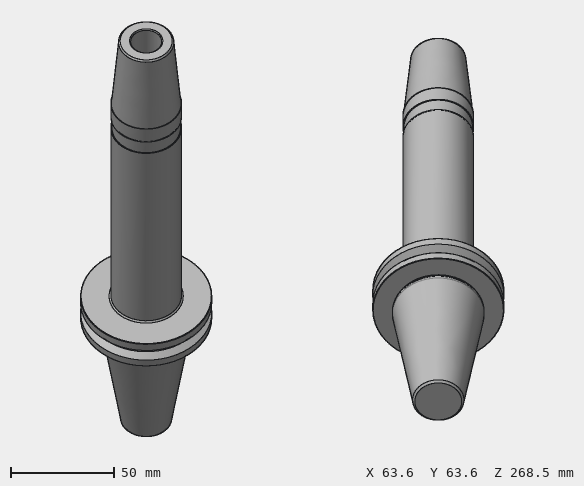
import cadquery as cq
import math

total_length = 268.5
taper_length = 68.5
gauge_radius = 22.3
taper_ratio = 7 / 24
tail_chamfer = 1.0
tail_radius = gauge_radius - taper_length * taper_ratio / 2
tail_chamfer_radius = tail_radius + tail_chamfer * taper_ratio / 2

land_height = 2.0
neck_height = 1.3
neck_radius = 21.7
land_top = taper_length + land_height

flange_bottom = land_top + neck_height
flange_height = 15.8
flange_radius = 31.8
flange_top = flange_bottom + flange_height
rim_chamfer = 0.3
groove_center = flange_bottom + 7.8
groove_floor_radius = 28.2
groove_floor_width = 2.7
groove_flank_rise = (flange_radius - groove_floor_radius) * math.tan(math.radians(30))
groove_mouth_width = groove_floor_width + 2 * groove_flank_rise

body_radius = 17.2
flare_size = 0.8

band_bottom = 207.0
band_top = 215.0
band_radius = 16.6

nose_bottom = 224.0
nose_base_radius = 17.0
nose_tip_radius = 13.5
nose_chamfer = 0.8
bore_radius = 7.5
bore_depth = 50.0
bore_chamfer = 0.5


def make_shank():
    """Taper, land and neck up to the underside of the flange."""
    return (
        cq.Workplane("XZ")
        .moveTo(0, 0)
        .lineTo(tail_chamfer_radius - tail_chamfer, 0)
        .lineTo(tail_chamfer_radius, tail_chamfer)
        .lineTo(gauge_radius, taper_length)
        .lineTo(gauge_radius, land_top)
        .lineTo(neck_radius, land_top)
        .lineTo(neck_radius, flange_bottom)
        .lineTo(0, flange_bottom)
        .close()
        .revolve(360, (0, 0), (0, 1))
    )


def make_flange():
    """Disc with chamfered rims and the V-groove around its edge."""
    disc = (
        cq.Workplane("XY", origin=(0, 0, flange_bottom))
        .circle(flange_radius)
        .extrude(flange_height)
        .edges()
        .chamfer(rim_chamfer)
    )
    groove = (
        cq.Workplane("XZ")
        .moveTo(flange_radius, groove_center - groove_mouth_width / 2)
        .lineTo(groove_floor_radius, groove_center - groove_floor_width / 2)
        .lineTo(groove_floor_radius, groove_center + groove_floor_width / 2)
        .lineTo(flange_radius, groove_center + groove_mouth_width / 2)
        .close()
        .revolve(360, (0, 0), (0, 1))
    )
    return disc.cut(groove)


def make_body():
    """Flared body, shallow band and tapered nose."""
    return (
        cq.Workplane("XZ")
        .moveTo(0, flange_top)
        .lineTo(body_radius + flare_size, flange_top)
        .lineTo(body_radius, flange_top + flare_size)
        .lineTo(body_radius, band_bottom)
        .lineTo(band_radius, band_bottom)
        .lineTo(band_radius, band_top)
        .lineTo(body_radius, band_top)
        .lineTo(body_radius, nose_bottom)
        .lineTo(nose_base_radius, nose_bottom)
        .lineTo(nose_tip_radius, total_length - nose_chamfer)
        .lineTo(nose_tip_radius - nose_chamfer, total_length)
        .lineTo(0, total_length)
        .close()
        .revolve(360, (0, 0), (0, 1))
    )


def make_bore():
    """Blind tool bore with a chamfered mouth."""
    return (
        cq.Workplane("XZ")
        .moveTo(0, total_length - bore_depth)
        .lineTo(bore_radius, total_length - bore_depth)
        .lineTo(bore_radius, total_length - bore_chamfer)
        .lineTo(bore_radius + bore_chamfer, total_length)
        .lineTo(0, total_length)
        .close()
        .revolve(360, (0, 0), (0, 1))
    )


result = make_shank().union(make_flange()).union(make_body()).cut(make_bore())